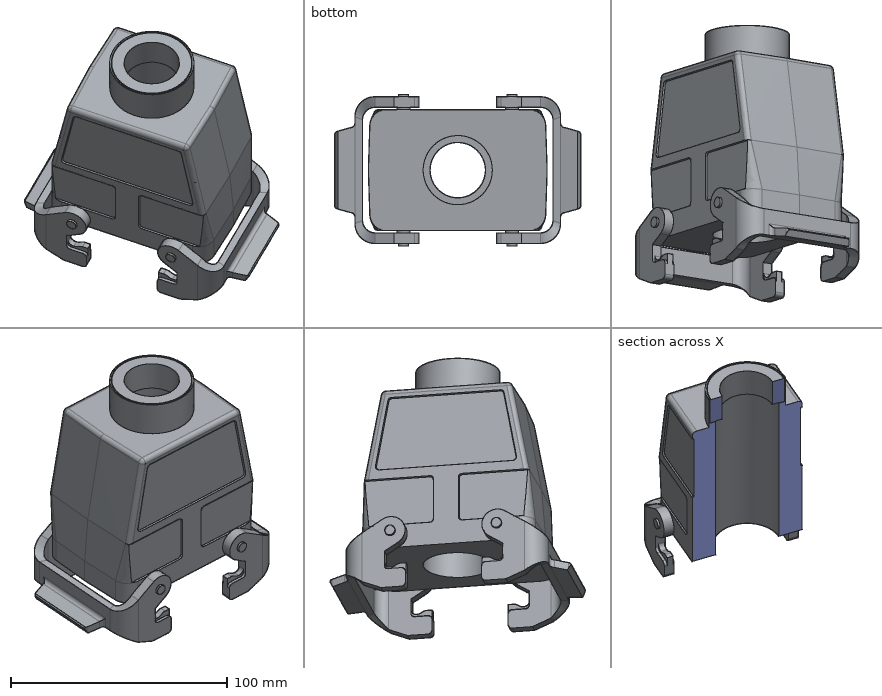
import cadquery as cq
import math

HALF_DEPTH = 28.0
RIM_HALF_WIDTH = 41.4
WAIST_HALF_WIDTH = 39.5
ROOF_HALF_WIDTH = 31.4
RIM_CROWN = 0.9
WAIST_CROWN = 0.6
ROOF_CROWN = 0.9
RIM_HEIGHT = 11.2
WAIST_HEIGHT = 34.3
ROOF_HEIGHT = 78.5
RIM_CORNER_RADIUS = 7.5
BODY_CORNER_RADIUS = 2.3

PANEL_DEPTH = 0.75
PANEL_DRAFT = 25.0
PANEL_CORNER_RADIUS = 1.9
LOWER_PANEL_INNER_X = 5.8
UPPER_PANEL_BOTTOM = 38.9
UPPER_PANEL_TOP = 74.4
UPPER_PANEL_SIDE_MARGIN = 5.0

NECK_DIAMETER = 39.0
NECK_TOP = 95.0
RING_SEAT_DIAMETER = 37.5
RING_BORE_DIAMETER = 25.5
RING_HEIGHT = 14.0
RING_CHAMFER = 0.25
CABLE_BORE_DIAMETER = 32.0

PIVOT_X = 25.1
PIVOT_Z = 6.05
PIN_DIAMETER = 4.8
PIN_HALF_SPAN = 35.1
SPACER_DIAMETER = 6.2

ARM_INNER_Y = 29.0
ARM_OUTER_Y = 34.0
EYE_RADIUS = 7.0
ARM_SLOPE = math.radians(32)
BAR_INNER_X = 44.0
BAR_OUTER_X = 47.6
BEND_OUTER_RADIUS = 9.3
BEND_INNER_RADIUS = 5.7
BEND_X = BAR_OUTER_X - BEND_OUTER_RADIUS
BEND_STEPS = 6
ARM_END_BOTTOM = -18.2
BAR_BOTTOM = -12.0

HOOK_TIP_X = 17.9
HOOK_THROAT_X = 27.9
HOOK_BOTTOM = -21.8
HOOK_HEEL_X = 29.5
HOOK_FLOOR = -12.6
HOOK_TIP_RADIUS = 2.0
HOOK_THROAT_RADIUS = 1.8
TONGUE_THICKNESS = 3.0
TONGUE_INSET = 0.5
TONGUE_VALLEY = (25.0, -11.4)
TONGUE_CREST = (20.5, -9.8)
TONGUE_ROOT_Z = -9.2

TAB_TIP_X = 56.975
TAB_TIP_TOP = -10.4
TAB_TIP_BEVEL = 0.6
TAB_TIP_BOTTOM_X = 55.3
TAB_TIP_BOTTOM = -13.4
TAB_FLARE_RADIUS = 2.0
TAB_FLARE_X = BAR_OUTER_X + TAB_FLARE_RADIUS
TAB_FLARE_TOP = -8.6
TAB_ROOT_TOP = TAB_FLARE_TOP + TAB_FLARE_RADIUS
TAB_FLARE_HALF_WIDTH = 19.7
TAB_ROOT_HALF_WIDTH = TAB_FLARE_HALF_WIDTH + TAB_FLARE_RADIUS
TAB_TIP_HALF_WIDTH = 17.6
TAB_TIP_RADIUS = 1.7


def hood_outline(half_width, crown, height):
    """Horizontal outline: a rectangle whose ends rise to a shallow ridge."""
    corner_x = half_width - crown
    corners = [
        (half_width, 0),
        (corner_x, HALF_DEPTH),
        (-corner_x, HALF_DEPTH),
        (-half_width, 0),
        (-corner_x, -HALF_DEPTH),
        (corner_x, -HALF_DEPTH),
    ]
    return cq.Wire.makePolygon([cq.Vector(x, y, height) for x, y in corners], close=True)


def rounded_outline(half_width, crown, corner_radius, height):
    """The same outline with its four corners rounded and its ridges kept sharp."""
    outline = hood_outline(half_width, crown, height)
    corners = [vertex for vertex in outline.Vertices() if abs(vertex.Y) > HALF_DEPTH / 2]
    return outline.fillet2D(corner_radius, corners)


def upper_body():
    """Tapered part above the waist, with the corners and the roof edge rounded alike."""
    waist = hood_outline(WAIST_HALF_WIDTH, WAIST_CROWN, WAIST_HEIGHT)
    roof = hood_outline(ROOF_HALF_WIDTH, ROOF_CROWN, ROOF_HEIGHT)
    body = cq.Workplane(cq.Solid.makeLoft([waist, roof], True))
    return body.edges(">Z or (>Y or <Y) and (not <Z)").fillet(BODY_CORNER_RADIUS)


def lower_body():
    """Upright rim and the flare above it, whose corner radius shrinks towards the waist."""
    sections = [
        rounded_outline(RIM_HALF_WIDTH, RIM_CROWN, RIM_CORNER_RADIUS, 0),
        rounded_outline(RIM_HALF_WIDTH, RIM_CROWN, RIM_CORNER_RADIUS, RIM_HEIGHT),
        rounded_outline(WAIST_HALF_WIDTH, WAIST_CROWN, BODY_CORNER_RADIUS, WAIST_HEIGHT),
    ]
    return cq.Workplane(cq.Solid.makeLoft(sections, True))


def sunk_panel(corners):
    """Cutter for the -Y face: a rounded outline whose walls close in towards the floor."""
    outline = cq.Sketch().polygon([*corners, corners[0]]).vertices().fillet(PANEL_CORNER_RADIUS)
    return (
        cq.Workplane("XZ", origin=(0, -HALF_DEPTH, 0))
        .placeSketch(outline)
        .extrude(-PANEL_DEPTH, taper=PANEL_DRAFT)
    )


def upper_panel():
    """Trapezoid cutter whose sides run parallel to the hood ends."""
    taper = (WAIST_HALF_WIDTH - ROOF_HALF_WIDTH) / (ROOF_HEIGHT - WAIST_HEIGHT)

    def half_width(height):
        return WAIST_HALF_WIDTH - taper * (height - WAIST_HEIGHT) - UPPER_PANEL_SIDE_MARGIN

    low = half_width(UPPER_PANEL_BOTTOM)
    high = half_width(UPPER_PANEL_TOP)
    return sunk_panel([
        (-low, UPPER_PANEL_BOTTOM),
        (low, UPPER_PANEL_BOTTOM),
        (high, UPPER_PANEL_TOP),
        (-high, UPPER_PANEL_TOP),
    ])


def lower_panel():
    """Cutter that runs out past the rounded corner of the hood on the +X end."""
    run_out_x = RIM_HALF_WIDTH + RIM_CORNER_RADIUS
    return sunk_panel([
        (LOWER_PANEL_INNER_X, RIM_HEIGHT),
        (run_out_x, RIM_HEIGHT),
        (run_out_x, WAIST_HEIGHT),
        (LOWER_PANEL_INNER_X, WAIST_HEIGHT),
    ])


def round_bar_along_y(diameter, half_length):
    return (
        cq.Workplane("XZ")
        .center(PIVOT_X, PIVOT_Z)
        .circle(diameter / 2)
        .extrude(half_length, both=True)
    )


def pivots():
    """Stepped pivot pins of the +X end, one on each large face."""
    pins = round_bar_along_y(PIN_DIAMETER, PIN_HALF_SPAN)
    spacers = round_bar_along_y(SPACER_DIAMETER, ARM_INNER_Y)
    return pins.union(spacers)


def make_hood():
    hood = lower_body().union(upper_body())
    neck = cq.Workplane("XY").circle(NECK_DIAMETER / 2).extrude(NECK_TOP)
    hood = hood.union(neck)

    quarter_panel = lower_panel()
    front_panels = upper_panel().union(quarter_panel).union(quarter_panel.mirror("YZ"))
    hood = hood.cut(front_panels).cut(front_panels.mirror("XZ"))
    hood = hood.union(pivots()).union(pivots().mirror("YZ"))

    bore = cq.Workplane("XY").circle(CABLE_BORE_DIAMETER / 2).extrude(NECK_TOP)
    seat = (
        cq.Workplane("XY", origin=(0, 0, NECK_TOP - RING_HEIGHT))
        .circle(RING_SEAT_DIAMETER / 2)
        .extrude(RING_HEIGHT)
    )
    return hood.cut(bore).cut(seat)


def make_ring():
    return (
        cq.Workplane("XY", origin=(0, 0, NECK_TOP - RING_HEIGHT))
        .circle(RING_SEAT_DIAMETER / 2)
        .extrude(RING_HEIGHT)
        .faces(">Z")
        .edges()
        .chamfer(RING_CHAMFER)
        .faces(">Z")
        .workplane()
        .hole(RING_BORE_DIAMETER)
    )


def arm_top(x):
    """Height of the sloping upper edge, which is tangent to the eye."""
    return PIVOT_Z + EYE_RADIUS / math.cos(ARM_SLOPE) - math.tan(ARM_SLOPE) * (x - PIVOT_X)


def arm_underside(x):
    """Height of the parallel lower edge of the eye."""
    return arm_top(x) - 2 * EYE_RADIUS / math.cos(ARM_SLOPE)


def lever_arm():
    """Flat arm with the pivot eye and the hook, on the -Y side."""
    across = EYE_RADIUS * math.sin(ARM_SLOPE)
    along = EYE_RADIUS * math.cos(ARM_SLOPE)
    arm = (
        cq.Workplane("XZ", origin=(0, -ARM_INNER_Y, 0))
        .moveTo(PIVOT_X + across, PIVOT_Z + along)
        .lineTo(BEND_X, arm_top(BEND_X))
        .lineTo(BEND_X, ARM_END_BOTTOM)
        .lineTo(HOOK_HEEL_X, HOOK_BOTTOM)
        .lineTo(HOOK_TIP_X, HOOK_BOTTOM)
        .lineTo(HOOK_TIP_X, HOOK_FLOOR)
        .lineTo(HOOK_THROAT_X, HOOK_FLOOR)
        .lineTo(HOOK_THROAT_X, arm_underside(HOOK_THROAT_X))
        .lineTo(PIVOT_X - across, PIVOT_Z - along)
        .threePointArc(
            (PIVOT_X - along, PIVOT_Z + across),
            (PIVOT_X + across, PIVOT_Z + along),
        )
        .close()
        .extrude(ARM_OUTER_Y - ARM_INNER_Y)
    )
    middle_y = -(ARM_INNER_Y + ARM_OUTER_Y) / 2
    for height in (HOOK_BOTTOM, HOOK_FLOOR):
        tip_edge = cq.selectors.NearestToPointSelector((HOOK_TIP_X, middle_y, height))
        arm = arm.edges("|Y").edges(tip_edge).fillet(HOOK_TIP_RADIUS)
    throat_edge = cq.selectors.NearestToPointSelector((HOOK_THROAT_X, middle_y, HOOK_FLOOR))
    return arm.edges("|Y").edges(throat_edge).fillet(HOOK_THROAT_RADIUS)


def hook_tongue():
    """Wavy catch standing on the hook floor, narrower than the arm."""
    valley_x, valley_z = TONGUE_VALLEY
    crest_x, crest_z = TONGUE_CREST
    throat_width = HOOK_THROAT_X - valley_x
    throat_depth = TONGUE_ROOT_Z - valley_z
    diagonal = math.sqrt(0.5)
    return (
        cq.Workplane("XZ", origin=(0, -ARM_INNER_Y - TONGUE_INSET, 0))
        .moveTo(HOOK_THROAT_X, TONGUE_ROOT_Z)
        .threePointArc(
            (valley_x + throat_width * diagonal, TONGUE_ROOT_Z - throat_depth * diagonal),
            TONGUE_VALLEY,
        )
        .spline([TONGUE_CREST], tangents=[(-1, 0), (-1, 0)], includeCurrent=True)
        .lineTo(HOOK_TIP_X, crest_z)
        .lineTo(HOOK_TIP_X, HOOK_FLOOR - HOOK_TIP_RADIUS)
        .lineTo(HOOK_THROAT_X, HOOK_FLOOR - HOOK_TIP_RADIUS)
        .close()
        .extrude(TONGUE_THICKNESS)
    )


def bend_section(angle):
    """Upright slice through the bend: 0 is the arm end, a right angle is the bar end."""
    inner_center_y = BEND_INNER_RADIUS - ARM_INNER_Y
    outer_center_y = BEND_OUTER_RADIUS - ARM_OUTER_Y
    inner_x = BEND_X + (BAR_INNER_X - BEND_X) * math.sin(angle)
    outer_x = BEND_X + BEND_OUTER_RADIUS * math.sin(angle)
    inner_y = inner_center_y - BEND_INNER_RADIUS * math.cos(angle)
    outer_y = outer_center_y - BEND_OUTER_RADIUS * math.cos(angle)
    top = arm_top(outer_x)
    bottom = ARM_END_BOTTOM + (BAR_BOTTOM - ARM_END_BOTTOM) * math.sin(angle)
    return cq.Wire.makePolygon(
        [
            cq.Vector(inner_x, inner_y, bottom),
            cq.Vector(outer_x, outer_y, bottom),
            cq.Vector(outer_x, outer_y, top),
            cq.Vector(inner_x, inner_y, top),
        ],
        close=True,
    )


def lever_bend():
    """Rounded corner that carries the arm into the bar while its height shrinks."""
    angles = [math.pi / 2 * step / BEND_STEPS for step in range(BEND_STEPS + 1)]
    return cq.Workplane(cq.Solid.makeLoft([bend_section(angle) for angle in angles]))


def lever_bar():
    """Straight bar between the two bends."""
    inner_half = ARM_INNER_Y - BEND_INNER_RADIUS
    outer_half = ARM_OUTER_Y - BEND_OUTER_RADIUS
    return (
        cq.Workplane("XY", origin=(0, 0, BAR_BOTTOM))
        .polyline([
            (BAR_INNER_X, -inner_half),
            (BAR_OUTER_X, -outer_half),
            (BAR_OUTER_X, outer_half),
            (BAR_INNER_X, inner_half),
        ])
        .close()
        .extrude(arm_top(BAR_OUTER_X) - BAR_BOTTOM)
    )


def finger_tab():
    """Drooping tab: a side profile trimmed by a tapered plan, both flared at the root."""
    bulge = TAB_FLARE_RADIUS * (1 - math.sqrt(0.5))
    profile = (
        cq.Workplane("XZ")
        .moveTo(BAR_OUTER_X, BAR_BOTTOM)
        .lineTo(TAB_TIP_BOTTOM_X, TAB_TIP_BOTTOM)
        .lineTo(TAB_TIP_X, TAB_TIP_TOP)
        .lineTo(TAB_TIP_X - TAB_TIP_BEVEL, TAB_TIP_TOP + TAB_TIP_BEVEL)
        .lineTo(TAB_FLARE_X, TAB_FLARE_TOP)
        .threePointArc(
            (BAR_OUTER_X + bulge, TAB_FLARE_TOP + bulge),
            (BAR_OUTER_X, TAB_ROOT_TOP),
        )
        .close()
        .extrude(TAB_ROOT_HALF_WIDTH, both=True)
    )
    plan = (
        cq.Workplane("XY", origin=(0, 0, TAB_TIP_BOTTOM))
        .moveTo(BAR_OUTER_X, -TAB_ROOT_HALF_WIDTH)
        .threePointArc(
            (BAR_OUTER_X + bulge, -TAB_FLARE_HALF_WIDTH - bulge),
            (TAB_FLARE_X, -TAB_FLARE_HALF_WIDTH),
        )
        .lineTo(TAB_TIP_X, -TAB_TIP_HALF_WIDTH)
        .lineTo(TAB_TIP_X, TAB_TIP_HALF_WIDTH)
        .lineTo(TAB_FLARE_X, TAB_FLARE_HALF_WIDTH)
        .threePointArc(
            (BAR_OUTER_X + bulge, TAB_FLARE_HALF_WIDTH + bulge),
            (BAR_OUTER_X, TAB_ROOT_HALF_WIDTH),
        )
        .close()
        .extrude(TAB_ROOT_TOP - TAB_TIP_BOTTOM)
        .edges("|Z and >X")
        .fillet(TAB_TIP_RADIUS)
    )
    return profile.intersect(plan)


def make_lever():
    side = lever_arm().union(hook_tongue()).union(lever_bend())
    lever = lever_bar().union(side).union(side.mirror("XZ")).union(finger_tab())
    return lever.cut(round_bar_along_y(PIN_DIAMETER, PIN_HALF_SPAN))


hood = make_hood()
ring = make_ring()

levers = []
for turn in (0, 180):
    levers.append(make_lever().rotate((0, 0, 0), (0, 0, 1), turn))

result = cq.Compound.makeCompound([
    hood.val(),
    ring.val(),
    *[lever.val() for lever in levers],
])